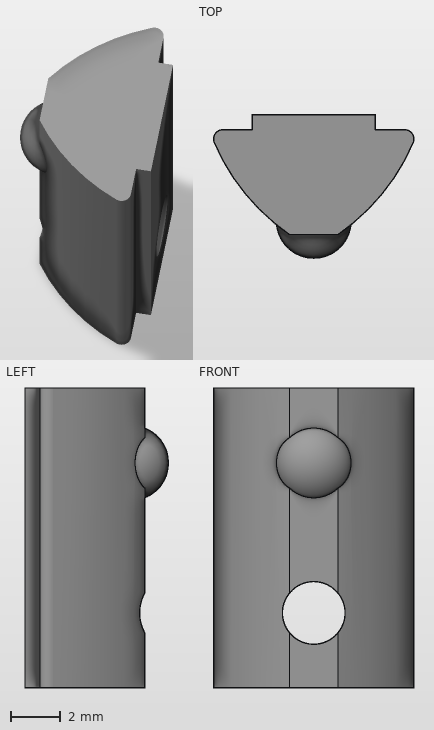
import cadquery as cq
import math

length = 12.0
body_depth = 4.8
shoulder_width = 8.02
tab_width = 4.93
tab_height = 0.6
nose_width = 1.93

corner_radius = 0.38
flank_start_angle = math.radians(23)
flank_radius = 8.5

hole_diameter = 2.5
hole_from_bottom = 3.0

ball_radius = 1.5
ball_projection = 0.95
ball_from_top = 3.0
ball_center_depth = body_depth + ball_projection - ball_radius


def half_profile():
    """Right half of the cross-section outline, open along the symmetry plane."""
    corner_center_x = shoulder_width / 2 - corner_radius
    corner_center_y = -tab_height - corner_radius
    flank_start = (
        corner_center_x + corner_radius * math.cos(flank_start_angle),
        corner_center_y - corner_radius * math.sin(flank_start_angle),
    )
    return (
        cq.Workplane("XY")
        .lineTo(tab_width / 2, 0)
        .lineTo(tab_width / 2, -tab_height)
        .lineTo(corner_center_x, -tab_height)
        .threePointArc((shoulder_width / 2, corner_center_y), flank_start)
        .radiusArc((nose_width / 2, -body_depth), flank_radius)
        .lineTo(0, -body_depth)
    )


def make_body():
    return half_profile().mirrorY().extrude(length)


def make_hole():
    return (
        cq.Workplane("XZ")
        .center(0, hole_from_bottom)
        .circle(hole_diameter / 2)
        .extrude(body_depth)
    )


def make_ball():
    ball_center = (0, -ball_center_depth, length - ball_from_top)
    return cq.Workplane("XY").sphere(ball_radius).translate(ball_center)


result = make_body().cut(make_hole()).union(make_ball()).solids()